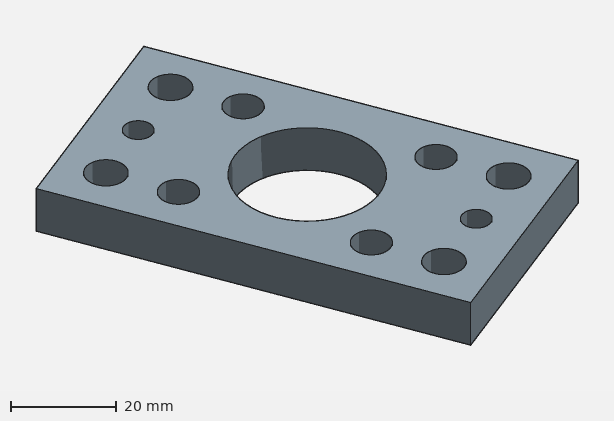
import cadquery as cq

length = 90.0
width = 50.0
thickness = 10.0

bore_diameter = 30.0
corner_hole_diameter = 8.5
inner_hole_diameter = 8.0
end_hole_diameter = 6.0

outer_column_x = 35.0
inner_column_x = 20.0
row_y = 15.0


def mirrored_points(x, y):
    """Four points placed symmetrically about both centre lines."""
    return [(sx * x, sy * y) for sx in (-1, 1) for sy in (-1, 1)]


def drill(body, points, diameter):
    """Cut through holes at points measured from the plate centre."""
    return body.faces(">Z").workplane(origin=(0, 0, 0)).pushPoints(points).hole(diameter)


result = cq.Workplane("XY").box(length, width, thickness)
result = drill(result, [(0, 0)], bore_diameter)
result = drill(result, mirrored_points(outer_column_x, row_y), corner_hole_diameter)
result = drill(result, mirrored_points(inner_column_x, row_y), inner_hole_diameter)

result = drill(result, [(-outer_column_x, 0), (outer_column_x, 0)], end_hole_diameter)